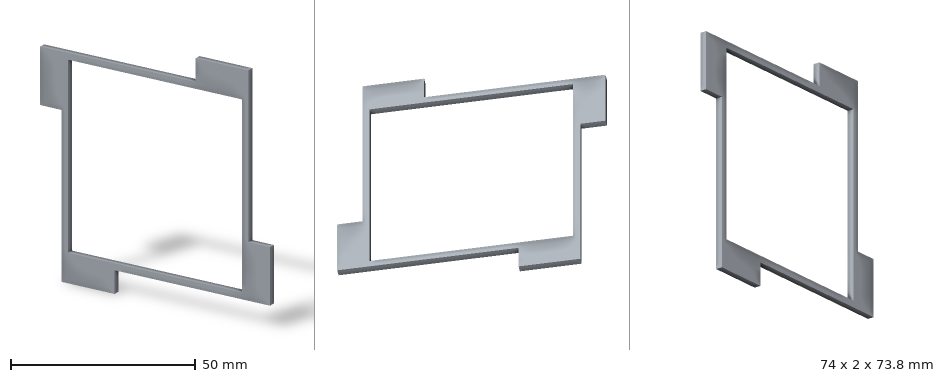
import cadquery as cq

overall_width = 73.95
overall_height = 73.8
thickness = 2.0
frame_size = 60.05
rail_width = 2.0
tab_length = 17.0

opening_size = frame_size - 2 * rail_width
half_frame = frame_size / 2


def plate(width, height, x_center=0.0, z_center=0.0):
    """Flat rectangular plate in the XZ plane, centred on Y."""
    return cq.Workplane("XY").box(width, thickness, height).translate((x_center, 0, z_center))


tab_offset = half_frame - tab_length / 2
side_reach = overall_width / 2 - (half_frame - rail_width)
end_reach = overall_height / 2 - (half_frame - rail_width)
side_tab_x = overall_width / 2 - side_reach / 2
end_tab_z = overall_height / 2 - end_reach / 2

frame = plate(frame_size, frame_size)
for side in (1, -1):
    frame = frame.union(plate(side_reach, tab_length, side * side_tab_x, -side * tab_offset))
    frame = frame.union(plate(tab_length, end_reach, side * tab_offset, side * end_tab_z))

result = frame.cut(plate(opening_size, opening_size))